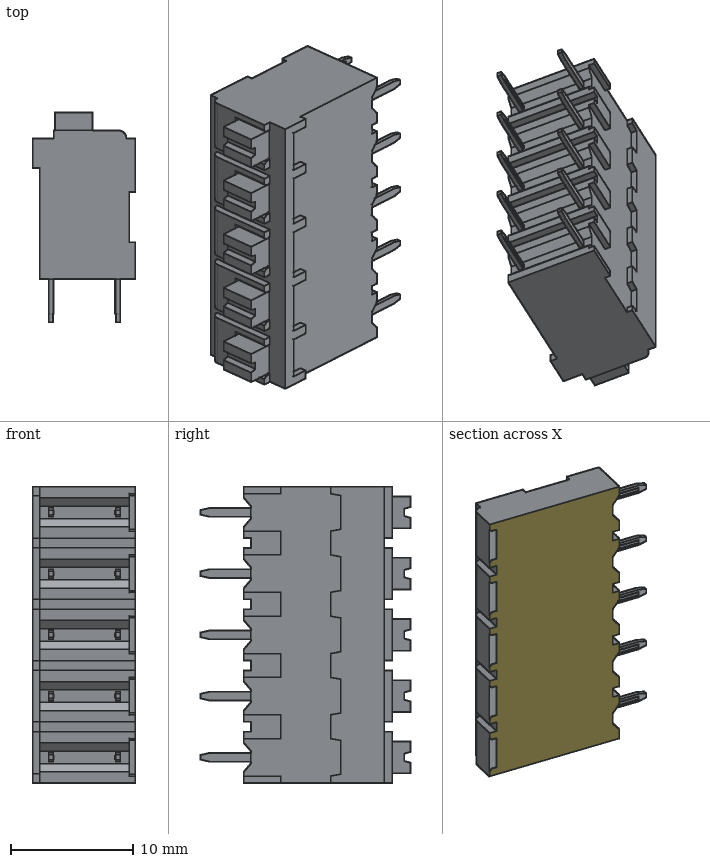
import cadquery as cq

pole_count = 5
total_height = 24.2
groove_height = 0.8
pole_height = (total_height - (pole_count - 1) * groove_height) / pole_count
pitch = pole_height + groove_height

flange_depth = 0.58
width = 8.4
front_y = 3.53
back_y = 15.03
slab_back_y = 15.68
slab_left_x = 1.72
slab_radius = slab_back_y - back_y
slab_right_x = 7.67
groove_depth = 0.58
channel_floor_y = front_y + groove_depth

flange_front_y = 14.04
tongue_front_y = 12.6
end_tongue_height = 0.75

channel_mouth_half = 1.19
channel_floor_half = 0.5

recess_depth = 0.48
recess_x = width - recess_depth
recess_front_y = 6.55
recess_back_y = 10.65
window_half = 1.52
pocket_floor_half = 1.38
pocket_depth = 0.8

button_left_x = 1.82
button_width = 3.1
button_right_x = button_left_x + button_width
button_half = 1.3
button_back_y = 17.15
slot_clearance = 0.07
slot_half = button_half + slot_clearance
slot_chamfer = 0.22
notch_mouth_half = 0.44
notch_floor_half = 0.3
notch_depth = 0.5

pin_left_x = 1.3
pin_thickness = 0.36
pin_spacing = 5.5
pin_half = 0.36
pin_tip_half = 0.2
pin_taper_length = 0.73
rib_thickness = 0.07
rib_half = 0.15


def block(x_range, y_range, z_range):
    """Box between two limits along each axis."""
    (x0, x1), (y0, y1), (z0, z1) = x_range, y_range, z_range
    return cq.Workplane("XY").box(x1 - x0, y1 - y0, z1 - z0, centered=False).translate((x0, y0, z0))


def prism_along_x(profile, x0, x1, z_centre):
    """Prism symmetric about z_centre; profile lists (y, half height) pairs in order of y."""
    upper = [(y, z_centre + half) for y, half in profile]
    lower = [(y, z_centre - half) for y, half in reversed(profile)]
    return cq.Workplane("YZ").polyline(upper + lower).close().extrude(x1 - x0).translate((x0, 0, 0))


def make_housing():
    body = block((flange_depth, width), (front_y, back_y), (0, total_height))
    slab = block((slab_left_x, slab_right_x), (front_y, slab_back_y), (0, total_height))
    slab = slab.edges("|Z and >X and >Y").fillet(slab_radius)
    flange = block((0, flange_depth), (flange_front_y, back_y), (0, total_height))
    recess = block((recess_x, width), (recess_front_y, recess_back_y), (0, total_height))
    return body.union(slab).union(flange).cut(recess)


def make_tongue(z_bottom, height):
    return block((0, flange_depth), (tongue_front_y, back_y), (z_bottom, z_bottom + height))


def make_groove(z_bottom):
    """Gap between two neighbouring poles, in the front face and in the back slab."""
    z_range = (z_bottom, z_bottom + groove_height)
    front = block((flange_depth, width), (front_y, channel_floor_y), z_range)
    back = block((slab_left_x, width), (back_y, slab_back_y), z_range)
    return front.union(back)


def make_pole_cut(z_centre):
    channel_profile = [(front_y, channel_mouth_half), (channel_floor_y, channel_floor_half)]
    channel = prism_along_x(channel_profile, flange_depth, width, z_centre)
    window_profile = [
        (front_y, window_half),
        (recess_back_y, window_half),
        (recess_back_y + pocket_depth, pocket_floor_half),
    ]
    window = prism_along_x(window_profile, recess_x, width, z_centre)
    slot_profile = [
        (back_y, slot_half),
        (slab_back_y - slot_chamfer, slot_half),
        (slab_back_y, slot_half + slot_chamfer),
    ]
    slot = prism_along_x(slot_profile, slab_left_x, button_right_x + slot_clearance, z_centre)
    return channel.union(window).union(slot)


def make_button(z_centre):
    button_profile = [(back_y, button_half), (button_back_y, button_half)]
    notch_profile = [(button_back_y - notch_depth, notch_floor_half), (button_back_y, notch_mouth_half)]
    button = prism_along_x(button_profile, button_left_x, button_right_x, z_centre)
    return button.cut(prism_along_x(notch_profile, button_left_x, button_right_x, z_centre))


def make_pin(left_x, rib_x, z_centre):
    blade_profile = [(0, pin_tip_half), (pin_taper_length, pin_half), (channel_floor_y, pin_half)]
    rib_profile = [(pin_taper_length, rib_half), (channel_floor_y, rib_half)]
    blade = prism_along_x(blade_profile, left_x, left_x + pin_thickness, z_centre)
    return blade.union(prism_along_x(rib_profile, rib_x, rib_x + rib_thickness, z_centre))


result = make_housing()

result = result.union(make_tongue(0, end_tongue_height))
result = result.union(make_tongue(total_height - end_tongue_height, end_tongue_height))
for gap in range(pole_count - 1):
    gap_bottom = gap * pitch + pole_height
    result = result.union(make_tongue(gap_bottom, groove_height))
    result = result.cut(make_groove(gap_bottom))

pin_right_x = pin_left_x + pin_spacing
for pole in range(pole_count):
    pole_centre = pole * pitch + pole_height / 2
    result = result.cut(make_pole_cut(pole_centre))
    result = result.union(make_button(pole_centre))
    result = result.union(make_pin(pin_left_x, pin_left_x + pin_thickness, pole_centre))
    result = result.union(make_pin(pin_right_x, pin_right_x - rib_thickness, pole_centre))